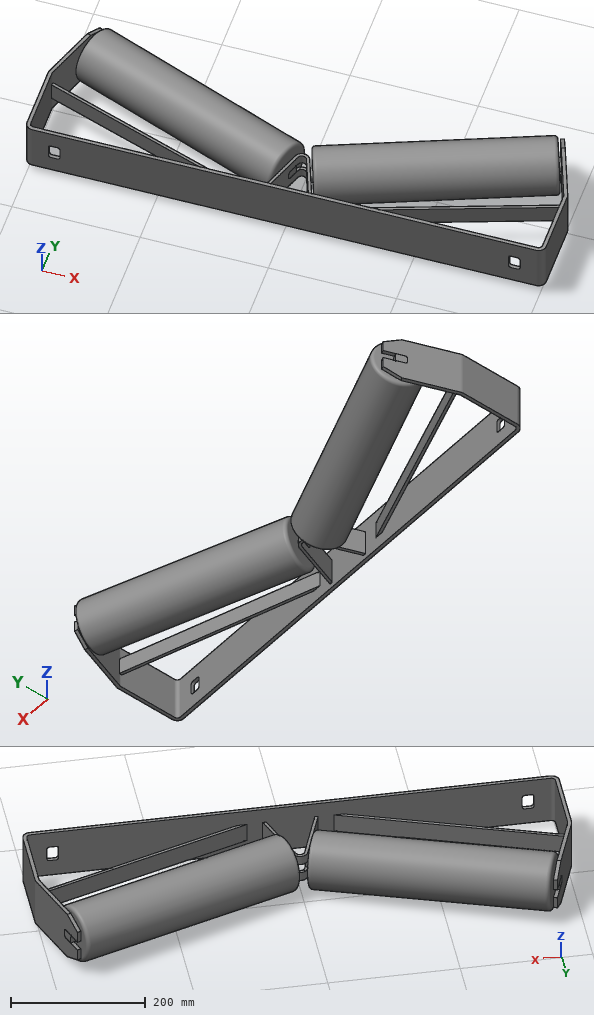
import cadquery as cq
import math

frame_length = 810.0
frame_height = 79.0
frame_thickness = 6.0
bend_radius = 12.0
fold_y = 117.5
wing_length = 125.0
wing_cut_length = 30.0
wing_cut_height = 14.0

mounting_hole_width = 18.0
mounting_hole_height = 25.0
mounting_hole_radius = 4.0
mounting_hole_inset = 46.0

trough_angle = 20.0
dip_angle = 1.1
roller_diameter = 89.0
roller_length = 366.0
roller_edge_radius = 6.0
roller_position = 95.5
wing_gap = 3.0
stand_gap = 4.0

tongue_width = 14.5
tongue_depth = 19.0
tongue_edge_radius = 4.0

stand_thickness = 5.0
stand_height = 45.0

brace_thickness = 5.0
brace_height = 30.0
brace_wall_y = 119.0
brace_foot_x = 66.0

cut_reach = 14.5

half_length = frame_length / 2
half_height = frame_height / 2
inner_wall_x = half_length - frame_thickness
sin_trough = math.sin(math.radians(trough_angle))
cos_trough = math.cos(math.radians(trough_angle))


def wing_point(distance, depth=0.0):
    """XY point at a distance along the wing and a depth inwards from its outer face."""
    return (
        half_length - distance * sin_trough - depth * cos_trough,
        fold_y + distance * cos_trough - depth * sin_trough,
    )


roller_end = wing_point(roller_position, frame_thickness + wing_gap)
roller_axis = cq.Vector(cos_trough, sin_trough, math.tan(math.radians(dip_angle)))
slot_direction = cq.Vector(-sin_trough, cos_trough, 0)
roller_plane = cq.Plane(
    origin=(*roller_end, 0),
    xDir=roller_axis,
    normal=roller_axis.cross(slot_direction),
)

stand_offset = roller_length + stand_gap
stand_face_x = roller_end[0] - stand_offset * cos_trough
stand_face_y = roller_end[1] - stand_offset * sin_trough
stand_peak_y = stand_face_y + stand_face_x * cos_trough / sin_trough
stand_inner_peak_y = stand_peak_y - stand_thickness / sin_trough
stand_center_z = -stand_offset * math.tan(math.radians(dip_angle))


def upright(points, height):
    """Prism with the given XY outline, centred on Z = 0."""
    return cq.Workplane("XY").polyline(points).close().extrude(height / 2, both=True)


def mirrored(body):
    return body.mirror("YZ")


def shaft_bar(start, end, reach):
    """Flat-sided bar along the roller axis, reaching from its rounded bottom towards local Y."""
    bar = (
        cq.Workplane("XY")
        .box(end - start, reach, tongue_width, centered=(False, False, True))
        .translate((start, -tongue_depth / 2, 0))
        .edges("|X and <Y")
        .fillet(tongue_edge_radius)
    )
    return cq.Workplane(bar.val().moved(cq.Location(roller_plane)))


def cut_slots(body, start, end):
    """Cut the open slot for a shaft end on the right, and its mirror image."""
    slot = shaft_bar(start, end, roller_diameter)
    return body.cut(slot).cut(mirrored(slot))


def wing_tip_cuts():
    """Wedges that cut both corners off the right wing's tip."""
    profile_plane = cq.Plane(
        origin=(*wing_point(wing_length), 0),
        xDir=slot_direction,
        normal=(cos_trough, sin_trough, 0),
    )
    upper = (
        cq.Workplane(profile_plane)
        .polyline([
            (-wing_cut_length, half_height),
            (0, half_height - wing_cut_height),
            (0, half_height),
        ])
        .close()
        .extrude(cut_reach, both=True)
    )
    return upper.union(upper.mirror("XY"))


def make_frame():
    fold_shift = frame_thickness * math.tan(math.radians(trough_angle / 2))
    right_side = [
        (half_length, 0),
        (half_length, fold_y),
        wing_point(wing_length),
        wing_point(wing_length, frame_thickness),
        (inner_wall_x, fold_y - fold_shift),
        (inner_wall_x, frame_thickness),
    ]
    left_side = [(-x, y) for x, y in reversed(right_side)]
    frame = upright(right_side + left_side, frame_height)

    def bend(body, corner, radius):
        for x in (corner[0], -corner[0]):
            nearest = cq.selectors.NearestToPointSelector((x, corner[1], 0))
            body = body.edges("|Z").edges(nearest).fillet(radius)
        return body

    inner_radius = bend_radius - frame_thickness
    frame = bend(frame, right_side[0], bend_radius)
    frame = bend(frame, right_side[1], bend_radius)
    frame = bend(frame, right_side[4], inner_radius)
    frame = bend(frame, right_side[5], inner_radius)

    tip_cuts = wing_tip_cuts()
    frame = frame.cut(tip_cuts).cut(mirrored(tip_cuts))

    hole_x = half_length - mounting_hole_inset
    holes = (
        cq.Workplane("XY")
        .pushPoints([(-hole_x, 0), (hole_x, 0)])
        .box(mounting_hole_width, 2 * cut_reach, mounting_hole_height)
        .edges("|Y")
        .fillet(mounting_hole_radius)
    )
    frame = frame.cut(holes)
    return cut_slots(frame, 0, cut_reach)


def stand_wedge(peak_y, radius):
    """Wedge on the base, with a rounded peak."""
    foot_x = (peak_y - frame_thickness) * sin_trough / cos_trough
    wedge = upright([(-foot_x, frame_thickness), (foot_x, frame_thickness), (0, peak_y)], stand_height)
    return wedge.edges("|Z and >Y").fillet(radius)


def make_stand():
    outside = stand_wedge(stand_peak_y, bend_radius)
    inside = stand_wedge(stand_inner_peak_y, bend_radius - stand_thickness)
    stand = outside.cut(inside).translate((0, 0, stand_center_z))
    return cut_slots(stand, -stand_offset - cut_reach, -roller_length)


def make_roller():
    barrel = (
        cq.Workplane("YZ")
        .circle(roller_diameter / 2)
        .extrude(-roller_length)
        .edges()
        .fillet(roller_edge_radius)
    )
    roller = cq.Workplane(barrel.val().moved(cq.Location(roller_plane)))
    outer_end = wing_gap + frame_thickness
    inner_end = -stand_offset - stand_thickness
    roller = roller.union(shaft_bar(0, outer_end, tongue_depth))
    return roller.union(shaft_bar(inner_end, -roller_length, tongue_depth))


def make_brace():
    run = inner_wall_x - brace_foot_x
    rise = brace_wall_y - frame_thickness
    slant = math.hypot(run, rise)
    wall_drop = brace_thickness * slant / run
    foot_shift = brace_thickness * slant / rise
    outline = [
        (inner_wall_x, brace_wall_y),
        (brace_foot_x, frame_thickness),
        (brace_foot_x + foot_shift, frame_thickness),
        (inner_wall_x, brace_wall_y - wall_drop),
    ]
    return upright(outline, brace_height)


frame = make_frame()
stand = make_stand()
right_roller = make_roller()
right_brace = make_brace().cut(frame)

rollers = [right_roller, mirrored(right_roller)]
braces = [right_brace, mirrored(right_brace)]

result = cq.Compound.makeCompound([
    frame.val(),
    stand.val(),
    *[roller.val() for roller in rollers],
    *[brace.val() for brace in braces],
])